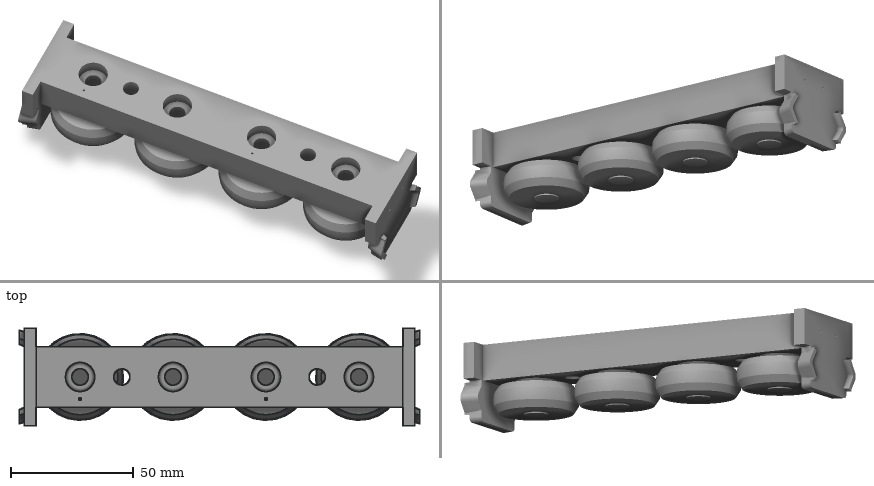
import cadquery as cq
import math


total_length = 164.0
total_height = 32.1

bar_length = 150.0
bar_width = 25.0
bar_height = 15.0

wheel_pitch = 38.0
wheel_count = 4
bolt_hole_diameter = 6.7
bolt_head_diameter = 12.0
bolt_head_depth = 5.1
mount_hole_diameter = 6.5
mount_hole_x = 40.0
mark_diameter = 1.0
mark_depth = 1.0
mark_offset = 9.0

wheel_z = -7.9
rim_radius = 17.4
crown_radius = 17.7
rim_half_height = 2.6
face_radius = 15.4
face_half_height = 5.5
hub_diameter = 17.0
stub_diameter = 10.0
stub_length = 0.5

plate_width = 40.0
plate_thickness = 5.0
foot_fillet = 2.0
screw_mark_spacing = 12.5

nose_z = -7.5
neck_half_width = 15.5
neck_flare = 0.23
nose_half_width = 19.2
nose_flare = 0.33
crown_half_height = 1.6
flank_slope = 1.4
lip_half_height = 6.7
lip_root_half_height = 5.7
lip_root_half_width = 13.5
groove_half_width = 17.0
groove_radius = 1.6
groove_flare = 0.5

wheel_positions = [(i - (wheel_count - 1) / 2) * wheel_pitch for i in range(wheel_count)]
plate_inner_x = -bar_length / 2
plate_outer_x = plate_inner_x - plate_thickness
lip_x = -total_length / 2
foot_z = bar_height - total_height
crown_sagitta = crown_half_height * math.tan(math.atan(1 / flank_slope) / 2)


def blind_hole(plane, points, diameter, depth):
    return plane.pushPoints(points).circle(diameter / 2).extrude(-depth)


def make_bar():
    bar = cq.Workplane("XY").box(bar_length, bar_width, bar_height, centered=(True, True, False))
    top = cq.Workplane("XY").workplane(offset=bar_height)
    axes = [(x, 0) for x in wheel_positions]
    mounts = [(-mount_hole_x, 0), (mount_hole_x, 0)]
    marks = [(x, -mark_offset) for x in wheel_positions[::2]]
    bar = bar.cut(blind_hole(top, axes, bolt_hole_diameter, bar_height))
    bar = bar.cut(blind_hole(top, axes, bolt_head_diameter, bolt_head_depth))
    bar = bar.cut(blind_hole(top, mounts, mount_hole_diameter, bar_height))
    return bar.cut(blind_hole(top, marks, mark_diameter, mark_depth))


def make_wheel(x):
    top = wheel_z + face_half_height
    bottom = wheel_z - face_half_height
    profile = (
        cq.Workplane("XZ")
        .moveTo(0, 0)
        .lineTo(hub_diameter / 2, 0)
        .lineTo(hub_diameter / 2, top)
        .lineTo(face_radius, top)
        .lineTo(rim_radius, wheel_z + rim_half_height)
        .threePointArc((crown_radius, wheel_z), (rim_radius, wheel_z - rim_half_height))
        .lineTo(face_radius, bottom)
        .lineTo(stub_diameter / 2, bottom)
        .lineTo(stub_diameter / 2, bottom - stub_length)
        .lineTo(0, bottom - stub_length)
        .close()
    )
    return profile.revolve(360, (0, 0, 0), (0, 1, 0)).translate((x, 0, 0))


def nose_widths(x):
    """Half widths at the neck and at the nose, and the half height where the flank meets the neck."""
    inset = x - lip_x
    neck = neck_half_width - neck_flare * inset
    nose = nose_half_width - nose_flare * inset
    flank_half_height = crown_half_height + (nose - crown_sagitta - neck) * flank_slope
    return neck, nose, flank_half_height


def nose_wire(x):
    """Section of the flared lower part of an end plate at x."""
    neck, nose, flank = nose_widths(x)
    crown = nose - crown_sagitta
    corner = foot_fillet * (1 - math.sqrt(0.5))
    return (
        cq.Workplane("YZ", origin=(x, 0, 0))
        .moveTo(-neck, 0)
        .lineTo(neck, 0)
        .lineTo(neck, nose_z + flank)
        .lineTo(crown, nose_z + crown_half_height)
        .threePointArc((nose, nose_z), (crown, nose_z - crown_half_height))
        .lineTo(neck, nose_z - flank)
        .lineTo(neck, foot_z + foot_fillet)
        .threePointArc((neck - corner, foot_z + corner), (neck - foot_fillet, foot_z))
        .lineTo(foot_fillet - neck, foot_z)
        .threePointArc((corner - neck, foot_z + corner), (-neck, foot_z + foot_fillet))
        .lineTo(-neck, nose_z - flank)
        .lineTo(-crown, nose_z - crown_half_height)
        .threePointArc((-nose, nose_z), (-crown, nose_z + crown_half_height))
        .lineTo(-neck, nose_z + flank)
        .close()
        .val()
    )


def lip_band_wire(x):
    """Section at x of a V-shaped band on the +Y side that runs outward past the nose."""
    neck = nose_widths(x)[0]
    beyond_nose = plate_width / 2
    inset = groove_flare * (x - lip_x)
    groove = groove_half_width - inset
    root = lip_root_half_width - inset
    groove_crown = groove - groove_radius * (1 - math.sqrt(0.5))
    groove_crown_half_height = groove_radius * math.sqrt(0.5)
    return (
        cq.Workplane("YZ", origin=(x, 0, 0))
        .moveTo(root, nose_z + lip_root_half_height)
        .lineTo(neck, nose_z + lip_half_height)
        .lineTo(beyond_nose, nose_z + lip_half_height)
        .lineTo(beyond_nose, nose_z - lip_half_height)
        .lineTo(neck, nose_z - lip_half_height)
        .lineTo(root, nose_z - lip_root_half_height)
        .lineTo(groove_crown, nose_z - groove_crown_half_height)
        .threePointArc((groove, nose_z), (groove_crown, nose_z + groove_crown_half_height))
        .close()
        .val()
    )


def ruled_loft(section, start_x, end_x):
    return cq.Workplane(cq.Solid.makeLoft([section(start_x), section(end_x)], True))


def make_nose():
    """Flared lower part of the left plate; only the two lips reach past the plate's outer face."""
    nose = ruled_loft(nose_wire, lip_x, plate_inner_x)
    lip_length = plate_outer_x - lip_x
    waste = cq.Workplane("XY").box(lip_length, plate_width, total_height, centered=(False, True, False))
    waste = waste.translate((lip_x, 0, foot_z))
    band = ruled_loft(lip_band_wire, lip_x, plate_outer_x)
    waste = waste.cut(band).cut(band.mirror("XZ"))
    return nose.cut(waste)


def make_left_plate():
    plate = cq.Workplane("XY").box(plate_thickness, plate_width, bar_height, centered=(False, True, False))
    plate = plate.translate((plate_outer_x, 0, 0)).union(make_nose())
    face = cq.Workplane("YZ", origin=(plate_outer_x, 0, 0))
    marks = [(side * screw_mark_spacing / 2, bar_height / 2) for side in (-1, 1)]
    return plate.cut(blind_hole(face, marks, mark_diameter, -mark_depth))


bar = make_bar()
wheels = [make_wheel(x) for x in wheel_positions]
left_plate = make_left_plate()
right_plate = left_plate.mirror("YZ")

result = cq.Compound.makeCompound(
    [bar.val(), left_plate.val(), right_plate.val()] + [wheel.val() for wheel in wheels]
)